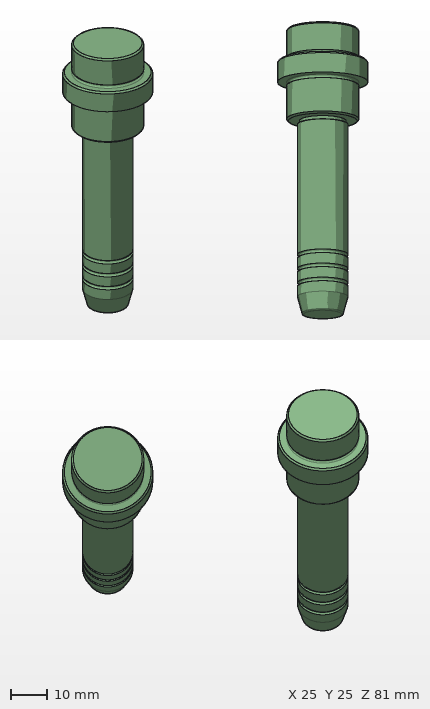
import cadquery as cq
import math

head_diameter = 20.0
flange_diameter = 25.0
neck_diameter = 13.0
shaft_diameter = 14.0

head_length = 9.0
flange_length = 6.0
body_length = 11.0
neck_length = 1.0
shaft_length = 55.0

edge_chamfer = 0.5
groove_radius = 0.5
ring_groove_count = 3
ring_groove_pitch = 4.0
lowest_groove_height = 8.5
tip_length = 5.0
tip_angle = 15.0
tip_fillet = 0.5

body_bottom = shaft_length
flange_bottom = body_bottom + body_length
flange_top = flange_bottom + flange_length
head_top = flange_top + head_length
shaft_top = body_bottom - neck_length


def cylinder(diameter, bottom, top):
    """Solid cylinder on the Z axis between two levels."""
    return cq.Workplane("XY").workplane(offset=bottom).circle(diameter / 2).extrude(top - bottom)


def round_groove(diameter, center):
    """Ring of circular section, centred on the cylinder surface, that cuts a half-round groove."""
    return cq.Workplane("XY").add(cq.Solid.makeTorus(diameter / 2, groove_radius, cq.Vector(0, 0, center)))


def make_head():
    """Cylindrical head with a chamfered top and a groove above the flange."""
    head = cylinder(head_diameter, flange_top, head_top).faces(">Z").chamfer(edge_chamfer)
    return head.cut(round_groove(head_diameter, flange_top + groove_radius))


def make_flange():
    """Locating flange with a chamfered upper edge."""
    return cylinder(flange_diameter, flange_bottom, flange_top).faces(">Z").chamfer(edge_chamfer)


def make_body():
    """Fitting diameter below the flange, grooved at the top and chamfered at the bottom."""
    body = cylinder(head_diameter, body_bottom, flange_bottom).faces("<Z").chamfer(edge_chamfer)
    return body.cut(round_groove(head_diameter, flange_bottom - groove_radius))


def make_tip():
    """Conical lead-in with a rounded small end."""
    shaft_radius = shaft_diameter / 2
    end_radius = shaft_radius - tip_length * math.tan(math.radians(tip_angle))
    section = [(0, 0), (end_radius, 0), (shaft_radius, tip_length), (0, tip_length)]
    tip = cq.Workplane("XZ").polyline(section).close().revolve(360, (0, 0), (0, 1))
    return tip.faces("<Z").edges().fillet(tip_fillet)


def make_shaft():
    """Guide shaft with its tip, its ring grooves and the relief neck at the top."""
    shaft = cylinder(shaft_diameter, tip_length, shaft_top).union(make_tip())
    for index in range(ring_groove_count):
        groove_height = lowest_groove_height + index * ring_groove_pitch
        shaft = shaft.cut(round_groove(shaft_diameter, groove_height))
    return shaft.union(cylinder(neck_diameter, shaft_top, body_bottom))


result = make_shaft().union(make_body()).union(make_flange()).union(make_head())